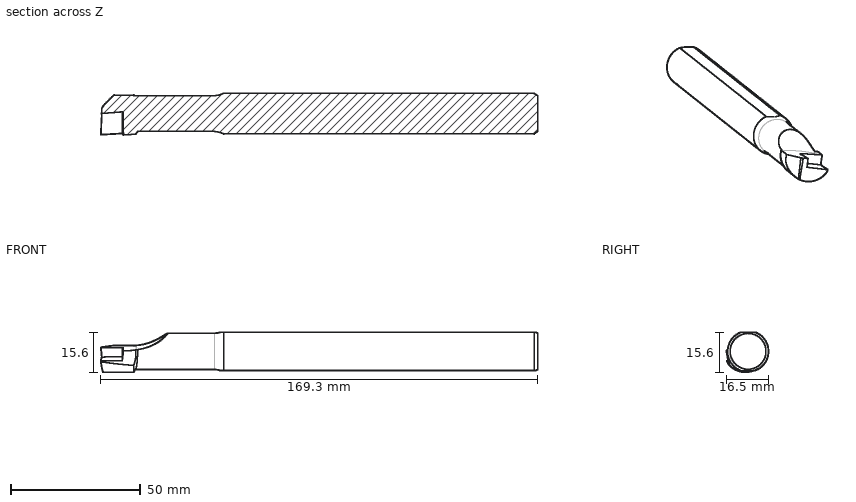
import cadquery as cq
import math

length = 169.3
shank_radius = 8.0
shank_flat_height = 7.5
neck_radius = 14.0 / 2
neck_end = 44.0
shank_start = 47.5
shoulder_sag = 0.2
rear_chamfer_length = 1.5
rear_chamfer_depth = 1.0

head_radius = 8.3
head_center_y = -1.0
head_center_z = 0.2
head_straight = 12.7
head_end = 14.2
head_taper = 2.2

face_tilt = 7.8
face_height = 1.4
cutter_x = 3.7
cutter_y = 0.5
cutter_flat_radius = 10.2
cutter_corner_radius = 15.5

pocket_tilt = 10.0
pocket_floor_z = -2.2
pocket_length = 8.3
pocket_wall_start_y = 0.0
pocket_wall_end_y = 0.7
pocket_draft = 7.0

end_relief_z = 0.1
end_relief_y = 0.065
end_top_z = 1.2
side_tip_y = -8.5
side_tip_z = 0.2
side_tip_x = 9.0
side_relief_z = 0.2
side_relief_x = 0.06
corner_x = 4.9
corner_angle = 45.0
bevel_y = 1.5
bevel_angle = 25.0
bevel_relief_z = 0.043

clearance = 33.9


def half_space(origin, outward):
    """Block filling the outward side of a plane."""
    plane = cq.Plane(origin=origin, normal=outward)
    return cq.Workplane(plane).rect(2 * clearance, 2 * clearance).extrude(clearance)


def make_bar():
    """Turned neck and shank with two long flats on the shank."""
    shoulder_middle = (
        (neck_end + shank_start) / 2,
        (neck_radius + shank_radius) / 2 - shoulder_sag,
    )
    bar = (
        cq.Workplane("XY")
        .lineTo(0, neck_radius)
        .lineTo(neck_end, neck_radius)
        .threePointArc(shoulder_middle, (shank_start, shank_radius))
        .lineTo(length - rear_chamfer_length, shank_radius)
        .lineTo(length, shank_radius - rear_chamfer_depth)
        .lineTo(length, 0)
        .close()
        .revolve(360, (0, 0, 0), (1, 0, 0))
    )
    between_flats = cq.Workplane("XY").box(
        length, 2 * clearance, 2 * shank_flat_height, centered=(False, True, True)
    )
    return bar.intersect(between_flats)


def make_head():
    """Larger offset cylinder with a conical rear edge."""
    head_plane = cq.Plane(origin=(0, head_center_y, head_center_z))
    profile = [
        (0, 0),
        (0, head_radius),
        (head_straight, head_radius),
        (head_end, head_radius - head_taper),
        (head_end, 0),
    ]
    return cq.Workplane(head_plane).polyline(profile).close().revolve(360, (0, 0, 0), (1, 0, 0))


def make_chip_cutter():
    """Flat-bottomed round cutter with a large corner radius, tilted to the chip face."""
    outer_radius = cutter_flat_radius + cutter_corner_radius
    arc_step = cutter_corner_radius * math.sqrt(0.5)
    arc_middle = (cutter_flat_radius + arc_step, cutter_corner_radius - arc_step)
    cutter = (
        cq.Workplane("XZ")
        .lineTo(cutter_flat_radius, 0)
        .threePointArc(arc_middle, (outer_radius, cutter_corner_radius))
        .lineTo(0, cutter_corner_radius)
        .close()
        .revolve(360, (0, 0, 0), (0, 1, 0))
    )
    return (
        cutter.translate((cutter_x, cutter_y, 0))
        .rotate((0, 0, 0), (1, 0, 0), face_tilt)
        .translate((0, 0, face_height))
    )


def make_pocket():
    """Two-walled insert seat, open toward -X and -Y, with drafted walls."""
    outline = [
        (-clearance, pocket_wall_start_y),
        (0, pocket_wall_start_y),
        (pocket_length, pocket_wall_end_y),
        (pocket_length, -clearance),
        (-clearance, -clearance),
    ]
    pocket = cq.Workplane("XY").polyline(outline).close().extrude(head_radius, taper=-pocket_draft)
    return pocket.rotate((0, 0, 0), (1, 0, 0), pocket_tilt).translate((0, 0, pocket_floor_z))


def make_relief_cuts():
    """End face, side flat, corner cut and narrow bevel of the head."""
    corner = math.radians(corner_angle)
    bevel = math.radians(bevel_angle)
    end_cut = half_space((0, 0, end_top_z), (-1, end_relief_y, -end_relief_z))
    side_cut = half_space((side_tip_x, side_tip_y, side_tip_z), (side_relief_x, -1, -side_relief_z))
    head_zone = cq.Workplane("YZ").rect(2 * clearance, 2 * clearance).extrude(head_end)
    corner_cut = half_space((corner_x, neck_radius, 0), (-math.sin(corner), math.cos(corner), 0))
    bevel_cut = half_space(
        (0, bevel_y, end_top_z), (-math.cos(bevel), math.sin(bevel), -bevel_relief_z)
    )
    return [end_cut, side_cut.intersect(head_zone), corner_cut.intersect(head_zone), bevel_cut]


result = make_bar().union(make_head())
result = result.cut(make_chip_cutter()).cut(make_pocket())
for relief_cut in make_relief_cuts():
    result = result.cut(relief_cut)